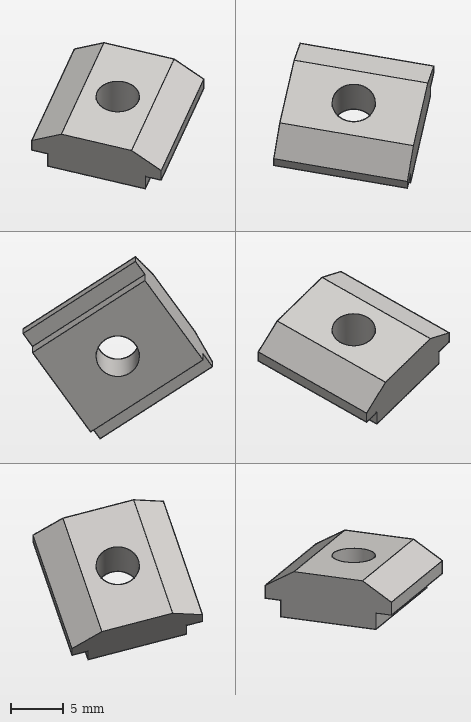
import cadquery as cq

width = 13.0
length = 13.0
height = 4.75

base_width = 9.8
base_height = 1.66
flange_edge_height = 1.3
top_width = 7.05

hole_diameter = 4.12


def nut_body():
    """T-shaped profile with sloped shoulders, extruded along Y and centred on it."""
    flange_top = base_height + flange_edge_height
    right_half = [
        (base_width / 2, 0),
        (base_width / 2, base_height),
        (width / 2, base_height),
        (width / 2, flange_top),
        (top_width / 2, height),
    ]
    left_half = [(-x, z) for x, z in reversed(right_half)]
    profile = cq.Workplane("XZ").polyline(right_half + left_half).close()
    return profile.extrude(length / 2, both=True)


def through_hole():
    """Vertical cylinder spanning the full height."""
    return cq.Workplane("XY").circle(hole_diameter / 2).extrude(height)


result = nut_body().cut(through_hole())